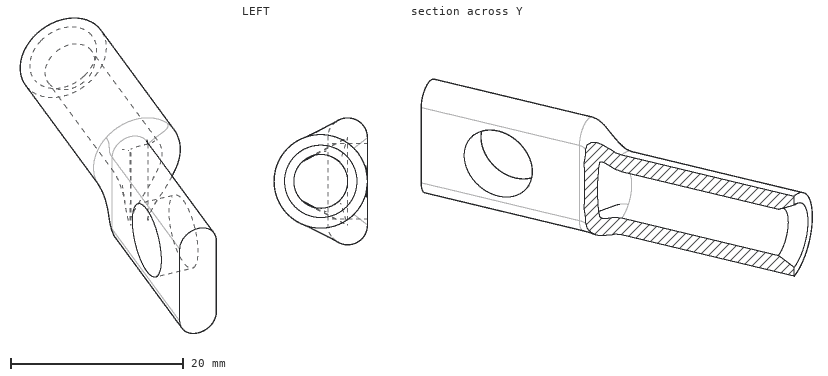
import cadquery as cq
import math

total_length = 48.0
barrel_length = 22.1
transition_length = 5.6
barrel_diameter = 10.85
bore_diameter = 6.25
countersink_diameter = 8.4
countersink_depth = 2.0
palm_height = 14.75
hole_diameter = 8.75
hole_x = 38.1

slit_radius = 0.025
flat_tolerance = 4.8e-07
section_count = 9

barrel_radius = barrel_diameter / 2
bore_radius = bore_diameter / 2
wall = barrel_radius - bore_radius
palm_radius = wall
palm_half_flat = palm_height / 2 - palm_radius
palm_start = barrel_length + transition_length


def round_outline(radius):
    """Corners and side midpoints (y, z) of a circle split into four arcs."""
    corner = radius * math.sqrt(0.5)
    return [
        (-corner, -corner), (-radius, 0),
        (-corner, corner), (0, radius),
        (corner, corner), (radius, 0),
        (corner, -corner), (0, -radius),
    ]


def slot_outline(radius, bottom_y):
    """Corners and side midpoints (y, z) of an upright slot with a flat on bottom_y."""
    middle_y = bottom_y + radius
    top_y = bottom_y + 2 * radius
    tip_z = palm_half_flat + radius
    return [
        (bottom_y, -palm_half_flat), (bottom_y, 0),
        (bottom_y, palm_half_flat), (middle_y, tip_z),
        (top_y, palm_half_flat), (top_y, 0),
        (top_y, -palm_half_flat), (middle_y, -tip_z),
    ]


def four_sided_wire(x, outline):
    """Closed wire at x through the outline: two long sides and two rounded tips."""
    side_a, middle_a, tip_a, end_a, side_b, middle_b, tip_b, end_b = outline
    wire = cq.Workplane("YZ", origin=(x, 0, 0)).moveTo(*side_a)
    wire = long_side(wire, side_a, middle_a, tip_a).threePointArc(end_a, side_b)
    wire = long_side(wire, side_b, middle_b, tip_b).threePointArc(end_b, side_a)
    return wire.wire().val()


def long_side(wire, start, middle, end):
    """Straight line where the side is flat, arc through its middle elsewhere."""
    if abs(middle[0] - start[0]) < flat_tolerance:
        return wire.lineTo(*end)
    return wire.threePointArc(middle, end)


def flattening(start_radius, end_radius):
    """Smooth S-shaped change from a round section to a slot flush at -Y."""
    start = round_outline(start_radius)
    end = slot_outline(end_radius, -start_radius)
    sections = []
    for i in range(section_count):
        t = i / (section_count - 1)
        blend = t * t * (3 - 2 * t)
        outline = [
            (y0 + (y1 - y0) * blend, z0 + (z1 - z0) * blend)
            for (y0, z0), (y1, z1) in zip(start, end)
        ]
        sections.append(four_sided_wire(barrel_length + transition_length * t, outline))
    return cq.Workplane(cq.Solid.makeLoft(sections))


def barrel_cylinder(radius):
    return cq.Workplane("YZ").circle(radius).extrude(barrel_length)


barrel = barrel_cylinder(barrel_radius)
transition = flattening(barrel_radius, palm_radius)
palm_wire = four_sided_wire(palm_start, slot_outline(palm_radius, -barrel_radius))
palm = cq.Workplane(
    cq.Solid.extrudeLinear(palm_wire, [], cq.Vector(total_length - palm_start, 0, 0))
)
body = barrel.union(transition).union(palm)

bore = barrel_cylinder(bore_radius)
bore_end = flattening(bore_radius, slit_radius)
countersink = cq.Workplane(
    cq.Solid.makeCone(
        countersink_diameter / 2,
        bore_radius,
        countersink_depth,
        pnt=cq.Vector(0, 0, 0),
        dir=cq.Vector(1, 0, 0),
    )
)

bolt_hole = (
    cq.Workplane("XZ")
    .center(hole_x, 0)
    .circle(hole_diameter / 2)
    .extrude(barrel_radius, both=True)
)

result = body.cut(bore).cut(bore_end).cut(countersink).cut(bolt_hole)